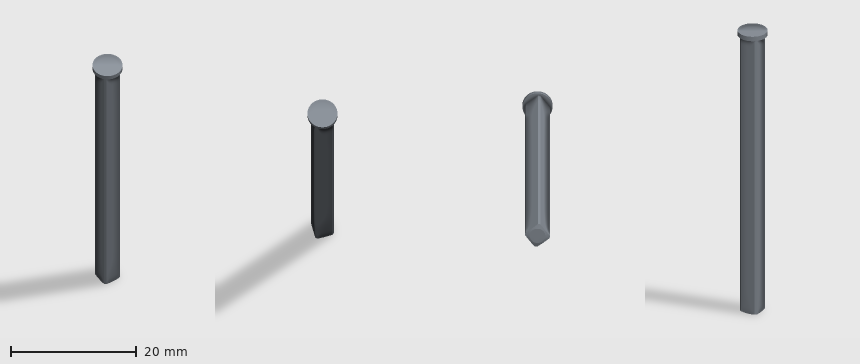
import cadquery as cq

total_length = 49.8
head_diameter = 4.8
head_thickness = 0.8
shank_width = 3.1
stock_diameter = 4.0
tip_diameter = 2.5
tip_height = 0.2

shank_length = total_length - head_thickness
stock_radius = stock_diameter / 2
tip_radius = tip_diameter / 2

stock = (
    cq.Workplane("XZ")
    .moveTo(0, 0)
    .lineTo(tip_radius, 0)
    .lineTo(stock_radius, tip_height)
    .lineTo(stock_radius, shank_length)
    .lineTo(0, shank_length)
    .close()
    .revolve(360, (0, 0, 0), (0, 1, 0))
)

square_bar = cq.Workplane("XY").rect(shank_width, shank_width).extrude(shank_length)
shank = stock.intersect(square_bar)

head = (
    cq.Workplane("XY")
    .workplane(offset=shank_length)
    .circle(head_diameter / 2)
    .extrude(head_thickness)
)

result = shank.union(head)